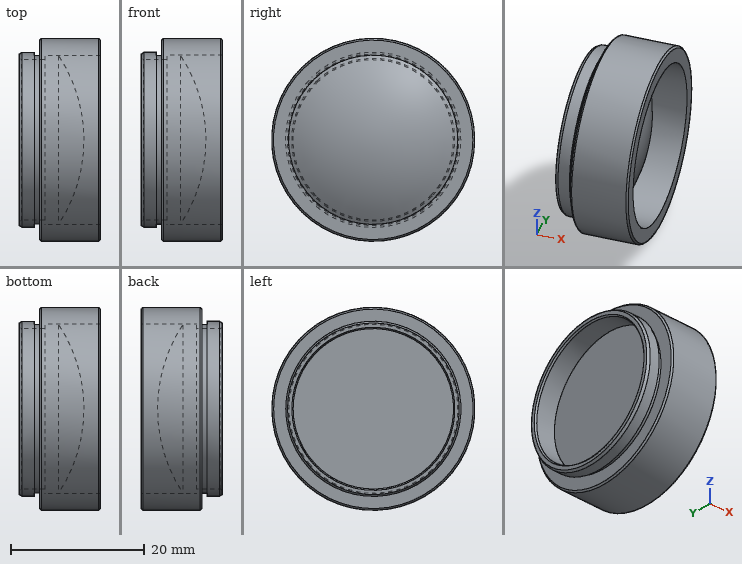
import cadquery as cq
import math


total_length = 12.19
body_length = 9.14
body_diameter = 30.48
body_chamfer = 0.28
nose_length = total_length - body_length
nose_diameter = 26.29
lead_in_length = 0.46
lead_in_depth = 0.27
relief_length = 0.78
relief_diameter = 25.35

clear_bore_diameter = 24.06
mouth_chamfer_depth = 0.2
mouth_chamfer_length = 0.32
seat_depth = 3.9

lens_diameter = 25.4
lens_edge_thickness = 2.0
convex_radius = 23.0

nose_radius = nose_diameter / 2
relief_radius = relief_diameter / 2
body_radius = body_diameter / 2
bore_radius = clear_bore_diameter / 2
lens_radius = lens_diameter / 2


def make_housing():
    """Revolved sleeve: slim nose, relief groove, wide body and a stepped through bore."""
    profile = (
        cq.Workplane("XY")
        .moveTo(0, bore_radius + mouth_chamfer_depth)
        .lineTo(0, nose_radius - lead_in_depth)
        .lineTo(lead_in_length, nose_radius)
        .lineTo(nose_length - relief_length, nose_radius)
        .lineTo(nose_length - relief_length, relief_radius)
        .lineTo(nose_length, relief_radius)
        .lineTo(nose_length, body_radius - body_chamfer)
        .lineTo(nose_length + body_chamfer, body_radius)
        .lineTo(total_length - body_chamfer, body_radius)
        .lineTo(total_length, body_radius - body_chamfer)
        .lineTo(total_length, lens_radius)
        .lineTo(seat_depth, lens_radius)
        .lineTo(seat_depth, bore_radius)
        .lineTo(mouth_chamfer_length, bore_radius)
        .close()
    )
    return profile.revolve(360, (0, 0, 0), (1, 0, 0))


def make_lens():
    """Lens with its flat face on the housing seat and its convex face towards +X."""
    edge_x = seat_depth + lens_edge_thickness
    center_x = edge_x - math.sqrt(convex_radius**2 - lens_radius**2)
    apex_x = center_x + convex_radius
    half_angle = math.asin(lens_radius / convex_radius) / 2
    arc_middle = (
        center_x + convex_radius * math.cos(half_angle),
        convex_radius * math.sin(half_angle),
    )
    profile = (
        cq.Workplane("XY")
        .moveTo(seat_depth, 0)
        .lineTo(seat_depth, lens_radius)
        .lineTo(edge_x, lens_radius)
        .threePointArc(arc_middle, (apex_x, 0))
        .close()
    )
    return profile.revolve(360, (0, 0, 0), (1, 0, 0))


housing = make_housing()
lens = make_lens()

result = cq.Compound.makeCompound([housing.val(), lens.val()])